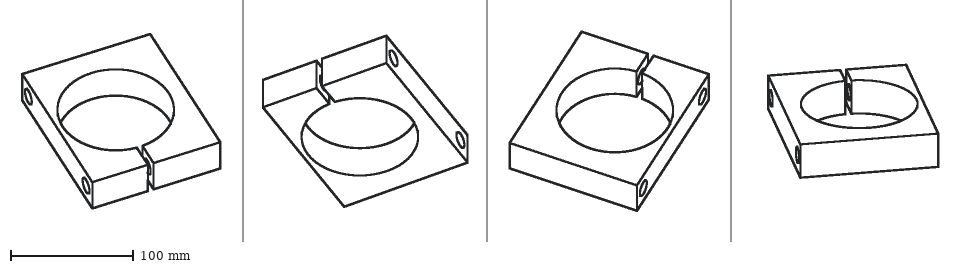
import cadquery as cq

length = 140.0
width = 115.0
height = 30.0

bore_diameter = 95.5
bore_center_y = -5.0

slit_width = 5.0

hole_diameter = 13.5
hole_spacing = 115.0


def make_block():
    return cq.Workplane("XY").box(length, width, height)


def make_bore():
    bore = cq.Workplane("XY").circle(bore_diameter / 2).extrude(height / 2, both=True)
    return bore.translate((0, bore_center_y, 0))


def make_slit():
    """Cutter from the bore centre out through the +X face."""
    slit = cq.Workplane("XY").box(length / 2, slit_width, height)
    return slit.translate((length / 4, bore_center_y, 0))


def make_cross_holes():
    """Both round cutters, running through the full width at mid height."""
    centers = [(-hole_spacing / 2, 0), (hole_spacing / 2, 0)]
    return cq.Workplane("XZ").pushPoints(centers).circle(hole_diameter / 2).extrude(width / 2, both=True)


result = make_block().cut(make_bore()).cut(make_slit()).cut(make_cross_holes())